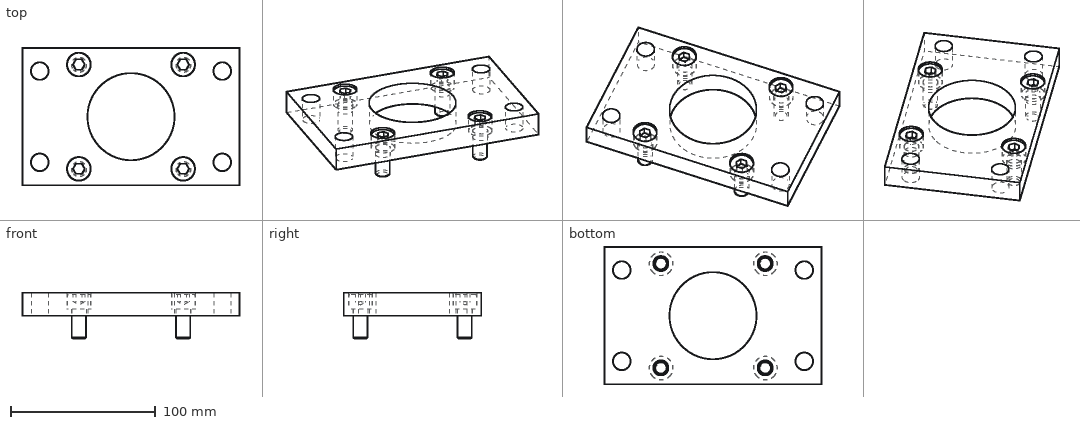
import cadquery as cq
import math

plate_length = 150.0
plate_width = 95.0
plate_thickness = 16.0
bore_diameter = 60.0
mount_hole_diameter = 12.0
mount_spacing_x = 126.0
mount_spacing_y = 63.0

screw_spacing = 72.0
clearance_diameter = 10.5
counterbore_diameter = 16.5
head_recess = 1.0

head_diameter = 16.0
head_height = 10.0
head_edge_round = 0.9
shank_diameter = 10.0
shank_projection = 15.9
tip_chamfer = 1.0
socket_across_flats = 7.0
socket_depth = 5.0
socket_cone_angle = 120.0

head_top = plate_thickness - head_recess
seat_height = head_top - head_height
shank_length = seat_height + shank_projection


def corner_points(spacing_x, spacing_y):
    """Four points at the corners of a centred rectangle."""
    return [(sx * spacing_x / 2, sy * spacing_y / 2) for sx in (-1, 1) for sy in (-1, 1)]


screw_points = corner_points(screw_spacing, screw_spacing)
mount_points = corner_points(mount_spacing_x, mount_spacing_y)


def make_plate():
    """Flat plate with a central bore, mounting holes and counterbored screw holes."""
    body = cq.Workplane("XY").box(
        plate_length, plate_width, plate_thickness, centered=(True, True, False)
    )
    body = body.faces(">Z").workplane().hole(bore_diameter)
    body = body.faces(">Z").workplane().pushPoints(mount_points).hole(mount_hole_diameter)
    counterbore_depth = plate_thickness - seat_height
    return (
        body.faces(">Z").workplane().pushPoints(screw_points)
        .cboreHole(clearance_diameter, counterbore_diameter, counterbore_depth)
    )


def make_socket():
    """Hexagonal key socket with a conical floor, corners along X."""
    across_corners = socket_across_flats / math.cos(math.radians(30))
    cone_radius = across_corners / 2
    cone_depth = cone_radius / math.tan(math.radians(socket_cone_angle / 2))
    cone_rim_height = head_top - socket_depth
    cone_tip_height = cone_rim_height - cone_depth
    hexagon = (
        cq.Workplane("XY").workplane(offset=cone_tip_height)
        .polygon(6, across_corners).extrude(socket_depth + cone_depth)
    )
    pointed_bore = (
        cq.Workplane("XZ")
        .moveTo(0, head_top)
        .lineTo(cone_radius, head_top)
        .lineTo(cone_radius, cone_rim_height)
        .lineTo(0, cone_tip_height)
        .close()
        .revolve(360, (0, 0), (0, 1))
    )
    return hexagon.intersect(pointed_bore)


def make_screw(x, y):
    """Socket head screw seated at the given point of the plate."""
    head = (
        cq.Workplane("XY").workplane(offset=seat_height)
        .circle(head_diameter / 2).extrude(head_height)
        .faces(">Z").edges().fillet(head_edge_round)
    )
    shank = (
        cq.Workplane("XY").workplane(offset=seat_height)
        .circle(shank_diameter / 2).extrude(-shank_length)
        .faces("<Z").edges().chamfer(tip_chamfer)
    )
    return head.union(shank).cut(make_socket()).translate((x, y, 0))


plate = make_plate()
screws = [make_screw(x, y) for x, y in screw_points]

result = cq.Compound.makeCompound([plate.val(), *[screw.val() for screw in screws]])